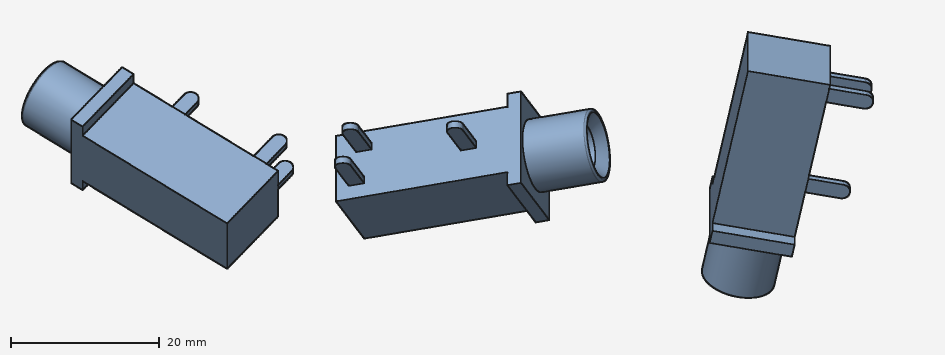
import cadquery as cq

total_length = 35.5
body_depth = 11.3
body_height = 10.0

barrel_diameter = 10.0
barrel_length = 9.0
rim_fillet = 0.3

flange_thickness = 1.95
flange_height = 14.0

bore_diameter = 6.0
mouth_diameter = 8.98
flare_depth = (mouth_diameter - bore_diameter) / 2
bore_depth = 30.18
bore_tip_depth = 1.75

pin_width = 2.2
pin_thickness = 1.0
pin_length = 6.45
pin_pitch = 2.5
pin_positions = [(16.5, 0), (31.5, pin_pitch), (32.55, -pin_pitch)]


def block(start_x, length, height):
    """Rectangular block centred on the barrel axis."""
    solid = cq.Workplane("XY").box(length, body_depth, height, centered=(False, True, True))
    return solid.translate((start_x, 0, 0))


def barrel():
    cylinder = cq.Workplane("YZ").circle(barrel_diameter / 2).extrude(barrel_length)
    return cylinder.faces("<X").edges().fillet(rim_fillet)


def bore():
    """Revolved cutter: flared mouth, straight bore and conical bottom."""
    bore_radius = bore_diameter / 2
    return (
        cq.Workplane("XY")
        .lineTo(0, mouth_diameter / 2)
        .lineTo(flare_depth, bore_radius)
        .lineTo(bore_depth, bore_radius)
        .lineTo(bore_depth + bore_tip_depth, 0)
        .close()
        .revolve(360, (0, 0, 0), (1, 0, 0))
    )


def pin(center_x, center_z):
    """Flat pin standing on the +Y side of the body."""
    half_width = pin_width / 2
    base_y = body_depth / 2
    tip_y = base_y + pin_length
    shoulder_y = tip_y - half_width
    return (
        cq.Workplane("XY", origin=(center_x, 0, center_z - pin_thickness / 2))
        .moveTo(-half_width, base_y)
        .lineTo(-half_width, shoulder_y)
        .threePointArc((0, tip_y), (half_width, shoulder_y))
        .lineTo(half_width, base_y)
        .close()
        .extrude(pin_thickness)
    )


body_start = barrel_length + flange_thickness
result = barrel()
result = result.union(block(barrel_length, flange_thickness, flange_height))
result = result.union(block(body_start, total_length - body_start, body_height))
for center_x, center_z in pin_positions:
    result = result.union(pin(center_x, center_z))
result = result.cut(bore())